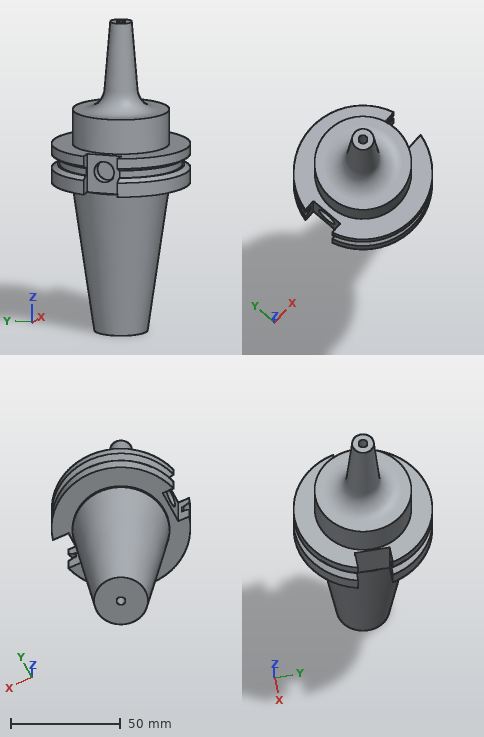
import cadquery as cq
import math

total_height = 144.5
gauge_z = 68.3
flange_bottom_z = 69.5
flange_top_z = 87.4
collar_top_z = 103.4

gauge_radius = 22.2
shank_taper = 7 / 24
shank_end_radius = gauge_radius - gauge_z * shank_taper / 2
relief_radius = 22.0

flange_radius = 63.4 / 2
groove_radius = 28.0
groove_ledge_radius = 28.9
groove_center_z = 79.5
groove_floor_width = 3.5
groove_side_angle = 30
groove_side_height = (flange_radius - groove_ledge_radius) * math.tan(math.radians(groove_side_angle))

collar_radius = 22.1
nose_tip_radius = 10.0 / 2
nose_half_angle = math.radians(4.7)
nose_foot_radius = nose_tip_radius + (total_height - collar_top_z) * math.tan(nose_half_angle)
nose_fillet_radius = 10.0

slot_width = 16.2
left_slot_floor = 25.1
right_slot_floor = 22.7
side_hole_diameter = 9.5
side_hole_depth = 5.0
bore_diameter = 4.0


def revolved_body():
    """Shank, flange, collar and nose as one turned profile."""
    floor_bottom = groove_center_z - groove_floor_width / 2
    floor_top = groove_center_z + groove_floor_width / 2

    tangent_length = nose_fillet_radius * math.tan(math.pi / 4 - nose_half_angle / 2)
    blend_end_radius = nose_foot_radius + tangent_length
    blend_center_z = collar_top_z + nose_fillet_radius
    middle_angle = math.pi / 4 + nose_half_angle / 2

    def blend_point(angle):
        """Point on the blend, with the angle measured upward from the inward direction."""
        return (
            blend_end_radius - nose_fillet_radius * math.cos(angle),
            blend_center_z + nose_fillet_radius * math.sin(angle),
        )

    return (
        cq.Workplane("XZ")
        .moveTo(0, 0)
        .lineTo(shank_end_radius, 0)
        .lineTo(gauge_radius, gauge_z)
        .lineTo(relief_radius, gauge_z)
        .lineTo(relief_radius, flange_bottom_z)
        .lineTo(flange_radius, flange_bottom_z)
        .lineTo(flange_radius, floor_bottom - groove_side_height)
        .lineTo(groove_ledge_radius, floor_bottom)
        .lineTo(groove_radius, floor_bottom)
        .lineTo(groove_radius, floor_top)
        .lineTo(groove_ledge_radius, floor_top)
        .lineTo(flange_radius, floor_top + groove_side_height)
        .lineTo(flange_radius, flange_top_z)
        .lineTo(collar_radius, flange_top_z)
        .lineTo(collar_radius, collar_top_z)
        .lineTo(blend_end_radius, collar_top_z)
        .threePointArc(blend_point(-middle_angle), blend_point(-nose_half_angle))
        .lineTo(nose_tip_radius, total_height)
        .lineTo(0, total_height)
        .close()
        .revolve(360, (0, 0), (0, 1))
    )


def drive_slot(side, floor):
    """Slot cutter through the flange; side is -1 for -X and 1 for +X."""
    depth = flange_radius - floor
    return (
        cq.Workplane("XY", origin=(side * (floor + depth / 2), 0, flange_bottom_z))
        .rect(depth, slot_width)
        .extrude(flange_top_z - flange_bottom_z)
    )


def side_hole():
    """Blind round hole in the floor of the -X slot."""
    return (
        cq.Workplane("YZ", origin=(-left_slot_floor, 0, groove_center_z))
        .circle(side_hole_diameter / 2)
        .extrude(side_hole_depth)
    )


def axial_bore():
    return cq.Workplane("XY").circle(bore_diameter / 2).extrude(total_height)


result = (
    revolved_body()
    .cut(drive_slot(-1, left_slot_floor))
    .cut(drive_slot(1, right_slot_floor))
    .cut(side_hole())
    .cut(axial_bore())
)